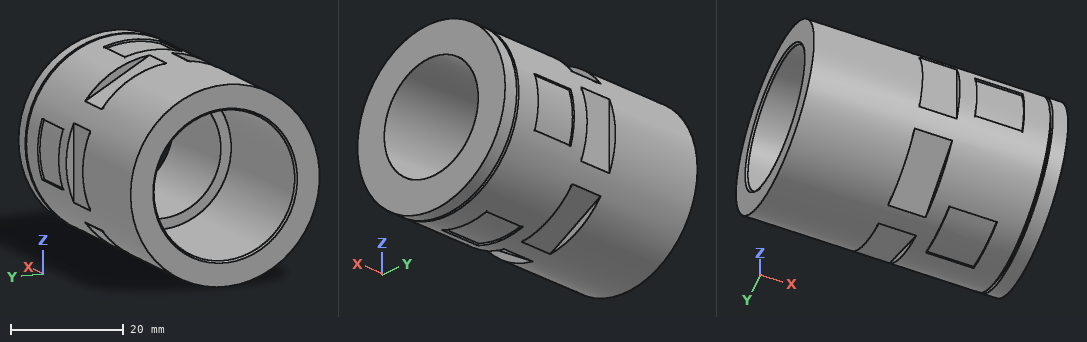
import cadquery as cq

length = 49.0
outer_diameter = 37.0
outer_radius = outer_diameter / 2

through_diameter = 23.5
socket_diameter = 27.55
mouth_diameter = 28.2
mouth_depth = 0.4
socket_depth = 28.15

groove_diameter = 35.0
groove_start = 45.5
groove_width = 0.55

flat_count = 6
flat_across = 34.0
flat_start = 20.9
flat_width = 7.2

pocket_count = 4
pocket_start = 31.4
pocket_length = 9.15
pocket_width = 11.1
pocket_floor_diameter = 36.15


def cylinder(start, span, diameter):
    return cq.Workplane("YZ", origin=(start, 0, 0)).circle(diameter / 2).extrude(span)


def ring(start, span, inner_diameter):
    """Material between the given diameter and the outer surface."""
    blank = cylinder(start, span, 2 * outer_diameter)
    return blank.cut(cylinder(start, span, inner_diameter))


def cut_bore(body):
    body = body.cut(cylinder(0, length, through_diameter))
    body = body.cut(cylinder(0, socket_depth, socket_diameter))
    mouth = (
        cq.Workplane("YZ")
        .circle(mouth_diameter / 2)
        .workplane(offset=mouth_depth)
        .circle(socket_diameter / 2)
        .loft(ruled=True)
    )
    return body.cut(mouth)


def cut_wrench_flats(body):
    cutter_depth = outer_radius
    cutter = cq.Workplane("XY").box(flat_width, cutter_depth, outer_diameter, centered=(False, False, True))
    cutter = cutter.translate((flat_start, flat_across / 2, 0))
    for i in range(flat_count):
        body = body.cut(cutter.rotate((0, 0, 0), (1, 0, 0), i * 360 / flat_count))
    return body


def cut_pockets(body):
    window = cq.Workplane("XY").box(pocket_length, outer_diameter, pocket_width, centered=(False, False, True))
    window = window.translate((pocket_start, 0, 0))
    cutter = window.intersect(ring(pocket_start, pocket_length, pocket_floor_diameter))
    for i in range(pocket_count):
        body = body.cut(cutter.rotate((0, 0, 0), (1, 0, 0), i * 360 / pocket_count))
    return body


sleeve = cylinder(0, length, outer_diameter)
sleeve = cut_bore(sleeve)
sleeve = sleeve.cut(ring(groove_start, groove_width, groove_diameter))
sleeve = cut_wrench_flats(sleeve)
result = cut_pockets(sleeve)